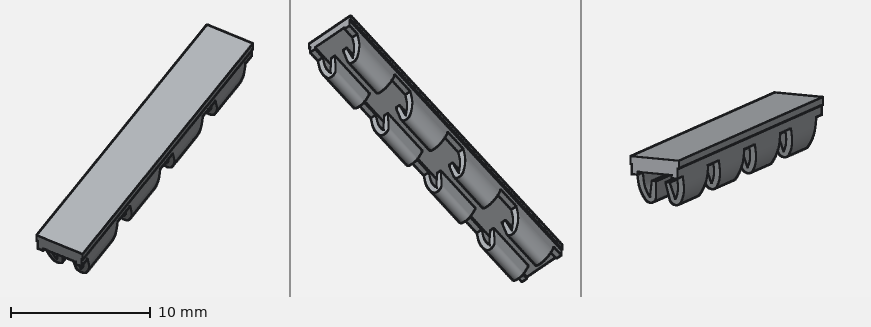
import cadquery as cq
import math

length = 24.4
top_width = 3.8
body_width = 3.6
cap_depth = 0.59
underside_depth = 1.1
rail_depth = 1.32

total_depth = 3.6
wall = 0.46
straight_depth = 1.98
tip_x = 1.0
prong_depth = 1.9
prong_outer_x = 0.7
prong_inner_x = 0.37

tooth_count = 4
tooth_top_length = 4.32
tooth_bottom_length = 3.17

half_body = body_width / 2
half_top = top_width / 2
wall_inner_x = half_body - wall
tip_z = wall - total_depth
pitch = length / tooth_count


def point_at(center, radius, angle):
    """Point on a circle in the XZ section."""
    return (center[0] + radius * math.cos(angle), center[1] + radius * math.sin(angle))


def make_rail():
    """Wide cap over a narrower body with a shallow channel underneath."""
    cap = cq.Workplane("XY").box(top_width, length, cap_depth, centered=(True, True, False))
    cap = cap.translate((0, 0, -cap_depth))
    body = cq.Workplane("XY").box(body_width, length, rail_depth, centered=(True, True, False))
    body = body.translate((0, 0, -rail_depth))
    lip_height = rail_depth - underside_depth
    channel = cq.Workplane("XY").box(2 * wall_inner_x, length, lip_height, centered=(True, True, False))
    channel = channel.translate((0, 0, -rail_depth))
    return cap.union(body).cut(channel)


def make_hook():
    """Full-length hook on the +X side; its round tip has the wall as radius."""
    tip = (tip_x, tip_z)
    run = half_body - tip_x
    drop = -straight_depth - tip_z
    flank_radius = (run**2 + drop**2 - wall**2) / (2 * (run - wall))
    flank_center = (half_body - flank_radius, -straight_depth)
    flank_angle = math.atan2(tip_z - flank_center[1], tip_x - flank_center[0])

    prong_end = (prong_inner_x, -prong_depth)
    reach_x = prong_end[0] - tip_x
    reach_z = prong_end[1] - tip_z
    reach = math.hypot(reach_x, reach_z)
    prong_angle = math.atan2(reach_z, reach_x) + math.acos(wall / reach)

    return (
        cq.Workplane("XZ")
        .moveTo(wall_inner_x, -underside_depth)
        .lineTo(half_body, -underside_depth)
        .lineTo(half_body, -straight_depth)
        .threePointArc(
            point_at(flank_center, flank_radius, flank_angle / 2),
            point_at(tip, wall, flank_angle),
        )
        .threePointArc(
            point_at(tip, wall, -math.pi / 2),
            point_at(tip, wall, prong_angle),
        )
        .lineTo(*prong_end)
        .lineTo(prong_outer_x, -prong_depth)
        .lineTo(*tip)
        .threePointArc(
            point_at(flank_center, flank_radius - wall, flank_angle / 2),
            (wall_inner_x, -straight_depth),
        )
        .close()
        .extrude(length / 2, both=True)
    )


def make_tooth_block(center_y):
    """Trapezoidal block, wide at the rail, that bounds one tooth."""
    half_upper = tooth_top_length / 2
    half_lower = tooth_bottom_length / 2
    return (
        cq.Workplane("YZ")
        .polyline([
            (center_y - half_upper, -rail_depth),
            (center_y + half_upper, -rail_depth),
            (center_y + half_lower, -total_depth),
            (center_y - half_lower, -total_depth),
        ])
        .close()
        .extrude(half_top, both=True)
    )


hook = make_hook()
hooks = hook.union(hook.mirror("YZ"))
result = make_rail()
for index in range(tooth_count):
    tooth_y = (index + 0.5) * pitch - length / 2
    result = result.union(hooks.intersect(make_tooth_block(tooth_y)))